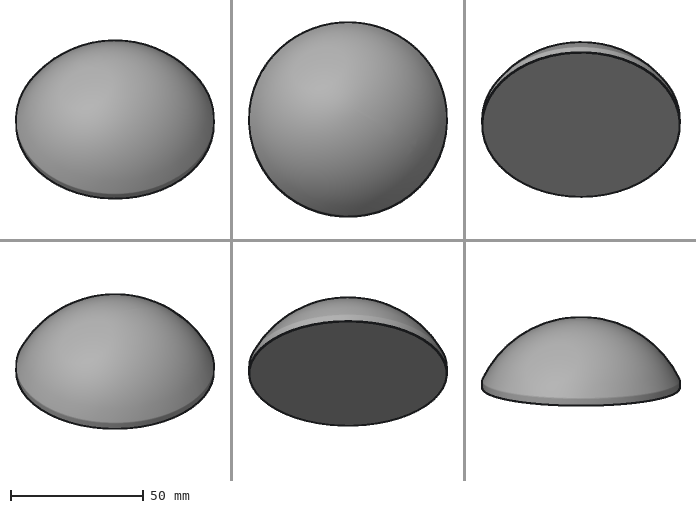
import cadquery as cq
import math

diameter = 75.0
height = 26.85

rim_height = 2.9
dome_edge_fillet = 1.0
bottom_chamfer = 0.2

radius = diameter / 2
dome_rise = height - rim_height

sphere_radius = (radius**2 + dome_rise**2) / (2 * dome_rise)
sphere_center_z = height - sphere_radius

arc_mid_radius = radius / 2
arc_mid_z = sphere_center_z + math.sqrt(sphere_radius**2 - arc_mid_radius**2)

half_section = (
    cq.Workplane("XZ")
    .moveTo(0, 0)
    .lineTo(-radius, 0)
    .lineTo(-radius, rim_height)
    .threePointArc((-arc_mid_radius, arc_mid_z), (0, height))
    .close()
)
body = half_section.revolve(360, (0, 0, 0), (0, 1, 0))

rim_band = cq.selectors.BoxSelector(
    (-diameter, -diameter, rim_height / 2),
    (diameter, diameter, rim_height + dome_edge_fillet),
)
rounded = body.edges("%CIRCLE").edges(rim_band).fillet(dome_edge_fillet)
result = rounded.faces("<Z").edges().chamfer(bottom_chamfer)